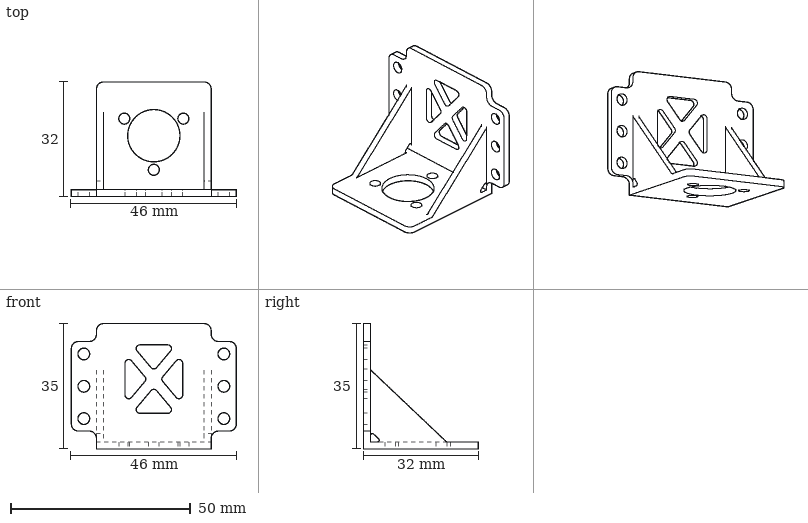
import cadquery as cq
import math

thickness = 2.0
body_width = 32.0
base_depth = 32.0
wall_height = 35.0
corner_radius = 2.0

ear_span = 46.0
ear_bottom = 5.0
ear_top = 30.0
ear_middle_z = (ear_bottom + ear_top) / 2
ear_hole_diameter = 3.2
ear_hole_spacing_x = 39.0
ear_hole_pitch_z = 9.0
ear_holes_per_side = 3

window_width = 16.0
window_height = 19.0
window_center_z = 19.5
strut_width = 3.0
window_radius = 1.0

motor_center_y = 17.0
motor_bore_diameter = 14.5
motor_screw_diameter = 3.0
motor_screw_circle_radius = 9.5
motor_screw_count = 3
motor_first_screw_angle = 30.0

gusset_depth = 21.2
gusset_height = 20.1
gusset_blend_radius = 0.5

relief_depth = 3.13
relief_height = relief_depth * gusset_height / gusset_depth
relief_radius = 0.5


def make_wall():
    """Upright plate from y = 0 to y = thickness, with rounded ears."""
    body = (
        cq.Workplane("XZ")
        .center(0, wall_height / 2)
        .rect(body_width, wall_height)
        .extrude(-thickness)
        .edges("|Y and >Z")
        .fillet(corner_radius)
    )
    ears = (
        cq.Workplane("XZ")
        .center(0, ear_middle_z)
        .rect(ear_span, ear_top - ear_bottom)
        .extrude(-thickness)
        .edges("|Y")
        .fillet(corner_radius)
    )
    inner_corners = cq.selectors.BoxSelector(
        (-body_width / 2 - corner_radius / 2, 0, ear_bottom - corner_radius / 2),
        (body_width / 2 + corner_radius / 2, thickness, ear_top + corner_radius / 2),
    )
    return body.union(ears).edges("|Y").edges(inner_corners).fillet(corner_radius)


def make_base():
    """Horizontal plate with rounded far corners."""
    return (
        cq.Workplane("XY")
        .center(0, base_depth / 2)
        .rect(body_width, base_depth)
        .extrude(thickness)
        .edges("|Z and >Y")
        .fillet(corner_radius)
    )


def corner_triangle(start_x, depth, height, width):
    """Right-triangle prism along X in the corner between wall and base."""
    return (
        cq.Workplane("YZ", origin=(start_x, thickness, thickness))
        .polyline([(0, 0), (depth, 0), (0, height)])
        .close()
        .extrude(width)
    )


def add_gussets(bracket):
    """Join both gussets and blend the ends of their slopes into the plates."""
    half_width = body_width / 2
    starts = (-half_width, half_width - thickness)
    for start_x in starts:
        bracket = bracket.union(corner_triangle(start_x, gusset_depth, gusset_height, thickness))
    for start_x in starts:
        middle_x = start_x + thickness / 2
        slope_foot = (middle_x, thickness + gusset_depth, thickness)
        slope_head = (middle_x, thickness, thickness + gusset_height)
        for slope_end in (slope_foot, slope_head):
            edge = cq.selectors.NearestToPointSelector(slope_end)
            bracket = bracket.edges("|X").edges(edge).fillet(gusset_blend_radius)
    return bracket


def relief_cutter():
    """Cutter through both gussets, with its two acute corners rounded."""
    return (
        corner_triangle(-body_width / 2, relief_depth, relief_height, body_width)
        .faces("not(<Y or <Z or |X)")
        .edges("|X")
        .fillet(relief_radius)
    )


def window_cutters():
    """Four rounded triangles left open between the diagonal struts."""
    windows = (
        cq.Workplane("XZ", origin=(0, 0, window_center_z))
        .rect(window_width, window_height)
        .extrude(-thickness)
    )
    diagonal = math.hypot(window_width, window_height)
    tilt = math.degrees(math.atan2(window_height, window_width))
    for angle in (tilt, -tilt):
        strut = (
            cq.Workplane("XZ", origin=(0, 0, window_center_z))
            .transformed(rotate=(0, 0, angle))
            .rect(2 * diagonal, strut_width)
            .extrude(-thickness)
        )
        windows = windows.cut(strut)
    return windows.edges("|Y").fillet(window_radius)


def ear_hole_cutters():
    """Columns of mounting holes through both ears."""
    return (
        cq.Workplane("XZ", origin=(0, 0, ear_middle_z))
        .rarray(ear_hole_spacing_x, ear_hole_pitch_z, 2, ear_holes_per_side)
        .circle(ear_hole_diameter / 2)
        .extrude(-thickness)
    )


def motor_cutters():
    """Motor bore and its ring of screw holes through the base."""
    bore = (
        cq.Workplane("XY", origin=(0, motor_center_y, 0))
        .circle(motor_bore_diameter / 2)
        .extrude(thickness)
    )
    screws = (
        cq.Workplane("XY", origin=(0, motor_center_y, 0))
        .polarArray(motor_screw_circle_radius, motor_first_screw_angle, 360, motor_screw_count)
        .circle(motor_screw_diameter / 2)
        .extrude(thickness)
    )
    return bore.union(screws)


result = add_gussets(make_wall().union(make_base()))
for cutter in (relief_cutter(), window_cutters(), ear_hole_cutters(), motor_cutters()):
    result = result.cut(cutter)